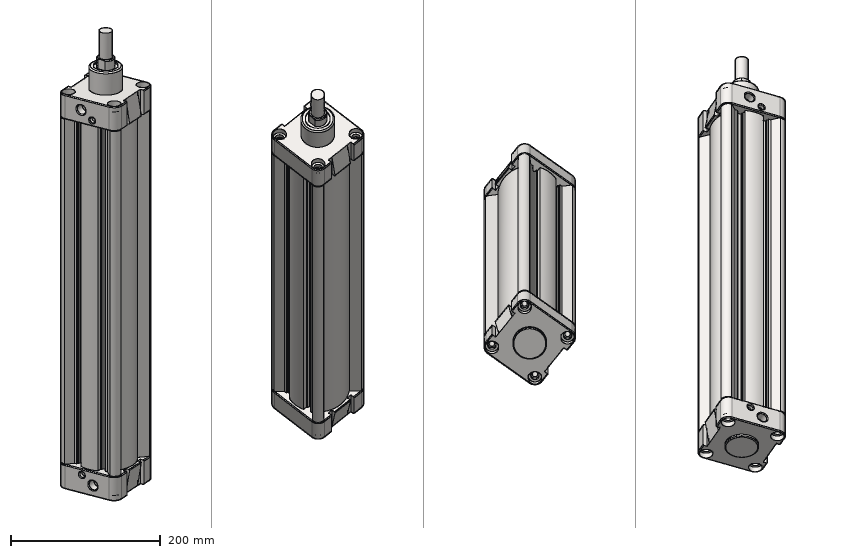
import cadquery as cq


total_length = 668.0
pilot_height = 4.0
cap_height = 36.0
tube_length = 507.0
collar_height = 33.5
flats_height = 13.0
lower_cap_z = pilot_height
tube_z = lower_cap_z + cap_height
upper_cap_z = tube_z + tube_length
collar_z = upper_cap_z + cap_height
rod_z = collar_z + collar_height
thread_z = rod_z + flats_height
body_middle_z = (lower_cap_z + collar_z) / 2

cap_width = 94.0
cap_half = cap_width / 2
cap_corner_radius = 12.0
cap_edge_chamfer = 1.5

notch_inner_y = 15.0
notch_outer_y = 21.5
notch_depth = 6.0

bolt_offset = 36.0
bolt_recess_diameter = 18.0
bolt_recess_depth = 8.0
socket_diameter = 11.5
socket_depth = 5.5
bolt_bore_diameter = 7.5

port_x = 9.5
port_inset = 16.0
port_diameter = 13.5
port_depth = 13.5
cushion_x = 8.0
cushion_inset = 27.5
cushion_diameter = 8.0
cushion_depth = 7.0
hole_chamfer = 1.5

tube_half = 47.0
tube_corner_radius = 11.0
barrel_radius = 43.0
slope_end_y = 23.0
slope_end_x = 26.0
slot_x = 18.0
slot_width = 6.0
slot_floor_y = 31.5
slot_mouth_width = 9.5
slot_mouth_floor_y = 35.0

collar_diameter = 45.5
collar_chamfer = 2.0
wiper_diameter = 33.5
wiper_depth = 2.0
wiper_z = rod_z - wiper_depth
pilot_chamfer = 1.5
rod_diameter = 25.0
rod_chamfer = 1.5
flats_width = 22.0
thread_diameter = 18.0

bolt_centers = [(sx * bolt_offset, sy * bolt_offset) for sx in (-1, 1) for sy in (-1, 1)]


def cylinder(diameter, z, height):
    return cq.Workplane("XY").workplane(offset=z).circle(diameter / 2).extrude(height)


def box(x_min, x_max, y_min, y_max, z, height):
    size_x = x_max - x_min
    size_y = y_max - y_min
    return cq.Workplane("XY").box(size_x, size_y, height, centered=False).translate((x_min, y_min, z))


def make_cap():
    """Upper end cap with its outer face up; the lower cap is its mirror image."""
    cap = (
        cq.Workplane("XY")
        .workplane(offset=upper_cap_z)
        .rect(cap_width, cap_width)
        .extrude(cap_height)
        .edges("|Z")
        .fillet(cap_corner_radius)
        .faces("<Z or >Z")
        .edges()
        .chamfer(cap_edge_chamfer)
    )
    notch_floor = cap_half - notch_depth
    wedge = (
        cq.Workplane("XZ")
        .moveTo(cap_half, upper_cap_z)
        .lineTo(cap_half, collar_z)
        .lineTo(notch_floor, collar_z)
        .close()
        .extrude(notch_inner_y, both=True)
    )
    notch = box(notch_floor, cap_half, notch_inner_y, notch_outer_y, upper_cap_z, cap_height)
    relief = wedge.union(notch).union(notch.mirror("XZ"))
    return cap.cut(relief).cut(relief.mirror("YZ"))


def mirror_to_lower(shape):
    return shape.mirror("XY", (0, 0, body_middle_z))


def make_tube():
    def prism(sketch):
        return sketch.extrude(tube_length)

    plane = cq.Workplane("XY").workplane(offset=tube_z)
    tube = prism(plane.rect(2 * tube_half, 2 * tube_half)).edges("|Z").fillet(tube_corner_radius)
    barrel = prism(plane.circle(barrel_radius))

    corner_start = tube_half - tube_corner_radius
    for angle, slope_end in ((0, slope_end_y), (90, slope_end_x)):
        floor = tube_half - (corner_start - slope_end)
        trough_points = [
            (tube_half, -corner_start),
            (tube_half, corner_start),
            (floor, slope_end),
            (floor, -slope_end),
        ]
        trough = prism(plane.polyline(trough_points).close())
        for turn in (angle, angle + 180):
            tube = tube.cut(trough.rotate((0, 0, 0), (0, 0, 1), turn))

    tube = tube.union(barrel)
    for width, floor_y in ((slot_width, slot_floor_y), (slot_mouth_width, slot_mouth_floor_y)):
        for side_x in (-1, 1):
            x_min = side_x * slot_x - width / 2
            slot = box(x_min, x_min + width, floor_y, tube_half, tube_z, tube_length)
            tube = tube.cut(slot).cut(slot.mirror("XZ"))
    return tube


def front_hole(x, z, diameter, depth):
    countersink = cq.Workplane(
        cq.Solid.makeCone(
            diameter / 2 + hole_chamfer,
            diameter / 2,
            hole_chamfer,
            pnt=cq.Vector(x, -cap_half, z),
            dir=cq.Vector(0, 1, 0),
        )
    )
    return (
        cq.Workplane("XZ", origin=(x, -cap_half, z))
        .circle(diameter / 2)
        .extrude(-depth)
        .union(countersink)
    )


def bolt_recesses():
    recess_floor = collar_z - bolt_recess_depth
    plane = cq.Workplane("XY").pushPoints(bolt_centers)
    recess = plane.circle(bolt_recess_diameter / 2).extrude(bolt_recess_depth)
    socket = plane.circle(socket_diameter / 2).extrude(socket_depth)
    return (
        recess.translate((0, 0, recess_floor))
        .union(socket.translate((0, 0, recess_floor - socket_depth)))
    )


def make_collar():
    collar = cylinder(collar_diameter, collar_z, collar_height).faces(">Z").edges().chamfer(collar_chamfer)
    return collar.cut(cylinder(wiper_diameter, wiper_z, wiper_depth))


def make_rod():
    neck_height = thread_z - wiper_z
    neck = cylinder(rod_diameter, wiper_z, neck_height).faces(">Z").edges().chamfer(rod_chamfer)
    rod_half = rod_diameter / 2
    flats_half = flats_width / 2
    flats = box(-rod_half, rod_half, -flats_half, flats_half, wiper_z, neck_height)
    thread = cylinder(thread_diameter, thread_z, total_length - thread_z)
    return neck.intersect(flats).union(thread)


cap = make_cap()
pilot = cylinder(collar_diameter, 0, pilot_height).faces("<Z").edges().chamfer(pilot_chamfer)
body = make_tube()
for piece in (cap, mirror_to_lower(cap), pilot, make_collar(), make_rod()):
    body = body.union(piece)

for end in (1, -1):
    port_z = body_middle_z + end * (collar_z - port_inset - body_middle_z)
    cushion_z = body_middle_z + end * (collar_z - cushion_inset - body_middle_z)
    body = body.cut(front_hole(-end * port_x, port_z, port_diameter, port_depth))
    body = body.cut(front_hole(end * cushion_x, cushion_z, cushion_diameter, cushion_depth))

recesses = bolt_recesses()
bolt_bores = (
    cq.Workplane("XY")
    .pushPoints(bolt_centers)
    .circle(bolt_bore_diameter / 2)
    .extrude(collar_z)
)
result = body.cut(recesses).cut(mirror_to_lower(recesses)).cut(bolt_bores)